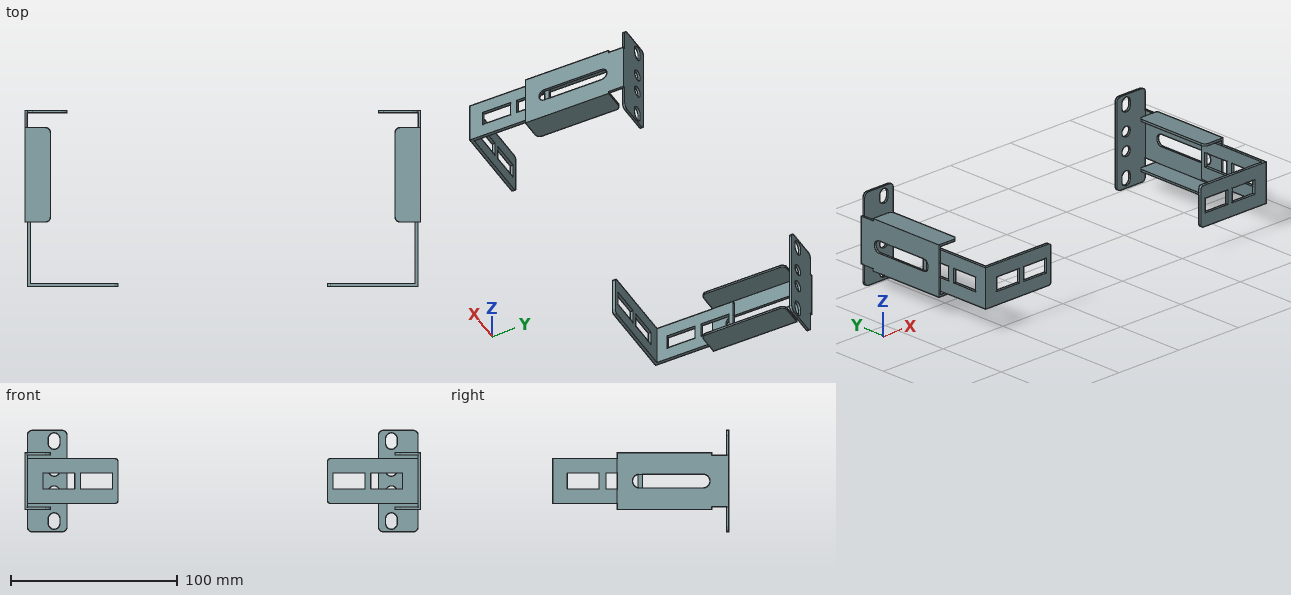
import cadquery as cq

overall_width = 237.8
overall_depth = 105.8

outer_sheet = 1.5
web_length = 67.0
web_height = 34.2
notch_length = 10.2
neck_height = 31.2
flange_width = 15.5
outer_corner_radius = 3.0
web_slot_length = 46.4
web_slot_width = 8.0
web_slot_start = 11.5

ear_edge = 25.5
ear_height = 61.0
ear_hole_x = 17.5
ear_hole_diameter = 7.0
ear_hole_spacing = 12.8
ear_slot_length = 9.7
ear_slot_spacing = 48.0

inner_sheet = 2.0
inner_height = 27.0
inner_reach = 56.1
inner_leg_length = 54.0
inner_corner_radius = 2.0
window_length = 19.0
window_height = 9.5
front_window_starts = (11.0, 33.5)
side_window_starts = (8.8, 32.0)

left_face = -overall_width / 2
front_face = -overall_depth / 2
back_face = overall_depth / 2
web_inner_face = left_face + outer_sheet


def box(x_min, x_max, y_min, y_max, height):
    """Block between the given X and Y limits, centred on Z = 0."""
    return (
        cq.Workplane("XY")
        .box(x_max - x_min, y_max - y_min, height)
        .translate(((x_min + x_max) / 2, (y_min + y_max) / 2, 0))
    )


def mounting_ear():
    """Upright plate with two round holes between two vertical slots."""
    ear = box(web_inner_face, left_face + ear_edge, back_face - outer_sheet, back_face, ear_height)
    ear = ear.edges("|Y").fillet(outer_corner_radius)
    hole_plane = cq.Workplane("XZ", origin=(left_face + ear_hole_x, back_face, 0))
    holes = hole_plane.rarray(2.4, ear_hole_spacing, 1, 2).circle(ear_hole_diameter / 2).extrude(outer_sheet)
    slots = (
        hole_plane.rarray(2.4, ear_slot_spacing, 1, 2)
        .slot2D(ear_slot_length, ear_hole_diameter, 90)
        .extrude(outer_sheet)
    )
    return ear.cut(holes).cut(slots)


def guide_channel():
    """C-shaped channel open toward +X, with rounded flange corners."""
    y_min = back_face - web_length
    y_max = back_face - notch_length
    x_max = left_face + flange_width
    channel = box(left_face, x_max, y_min, y_max, web_height)
    channel = channel.edges("|Z and >X").fillet(outer_corner_radius)
    cavity = box(web_inner_face, x_max, y_min, y_max, web_height - 2 * outer_sheet)
    return channel.cut(cavity)


def make_outer_bracket():
    """Guide channel, its neck and the mounting ear as one bent sheet."""
    neck = box(left_face, web_inner_face, back_face - notch_length, back_face, neck_height)
    web_slot_center = back_face - web_slot_start - web_slot_length / 2
    web_slot = (
        cq.Workplane("YZ", origin=(left_face, web_slot_center, 0))
        .slot2D(web_slot_length, web_slot_width)
        .extrude(outer_sheet)
    )
    return guide_channel().union(neck).union(mounting_ear()).cut(web_slot)


def make_inner_bracket():
    """L-shaped strip whose side leg lies against the inside of the outer web."""
    leg_inner_face = web_inner_face + inner_sheet
    front_inner_face = front_face + inner_sheet
    tip = left_face + inner_reach

    front_leg = box(web_inner_face, tip, front_face, front_inner_face, inner_height)
    front_leg = front_leg.edges("|Y and >X").fillet(inner_corner_radius)
    side_leg = box(web_inner_face, leg_inner_face, front_face, front_face + inner_leg_length, inner_height)
    bracket = front_leg.union(side_leg)

    for start in front_window_starts:
        x_min = left_face + start
        bracket = bracket.cut(
            box(x_min, x_min + window_length, front_face, front_inner_face, window_height)
        )
    for start in side_window_starts:
        y_min = front_face + start
        bracket = bracket.cut(
            box(web_inner_face, leg_inner_face, y_min, y_min + window_length, window_height)
        )
    return bracket


def mirrored_pair(bracket):
    """The bracket solid on the -X side and its mirror image on the +X side."""
    solid = bracket.solids().val()
    return [solid, solid.mirror("YZ")]


outer_brackets = mirrored_pair(make_outer_bracket())
inner_brackets = mirrored_pair(make_inner_bracket())

result = cq.Compound.makeCompound([*outer_brackets, *inner_brackets])